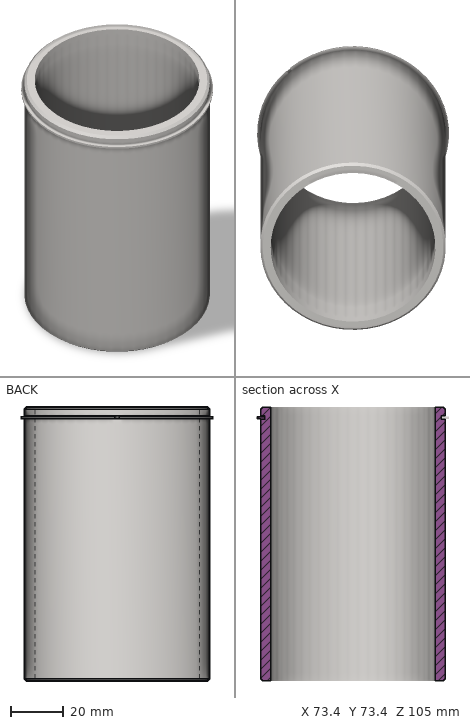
import cadquery as cq

sleeve_length = 105.0
sleeve_diameter = 71.0
bore_diameter = 63.0
rim_chamfer = 0.9

ring_diameter = 73.4
ring_thickness = 0.8
ring_gap_width = 1.8
groove_depth = 1.6
groove_width = 1.2
groove_bottom_below_top = 4.6

groove_floor_diameter = sleeve_diameter - 2 * groove_depth
groove_bottom_z = sleeve_length - groove_bottom_below_top


def annulus(outer_diameter, inner_diameter, bottom_z, height):
    """A flat-ended ring about the Z axis."""
    return (
        cq.Workplane("XY", origin=(0, 0, bottom_z))
        .circle(outer_diameter / 2)
        .circle(inner_diameter / 2)
        .extrude(height)
    )


def make_sleeve():
    """Tube with chamfered outer rims and a groove for the retaining ring."""
    body = cq.Workplane("XY").circle(sleeve_diameter / 2).extrude(sleeve_length)
    body = body.faces("<Z or >Z").edges().chamfer(rim_chamfer)
    bore = cq.Workplane("XY").circle(bore_diameter / 2).extrude(sleeve_length)
    groove = annulus(ring_diameter, groove_floor_diameter, groove_bottom_z, groove_width)
    return body.cut(bore).cut(groove)


def make_retaining_ring():
    """Ring resting on the lower groove wall, split by a parallel gap on the +Y side."""
    ring = annulus(ring_diameter, groove_floor_diameter, groove_bottom_z, ring_thickness)
    gap = cq.Workplane("XY", origin=(0, 0, groove_bottom_z)).box(
        ring_gap_width, ring_diameter, ring_thickness, centered=(True, False, False)
    )
    return ring.cut(gap)


sleeve = make_sleeve()
retaining_ring = make_retaining_ring()
result = cq.Compound.makeCompound([sleeve.val(), retaining_ring.val()])